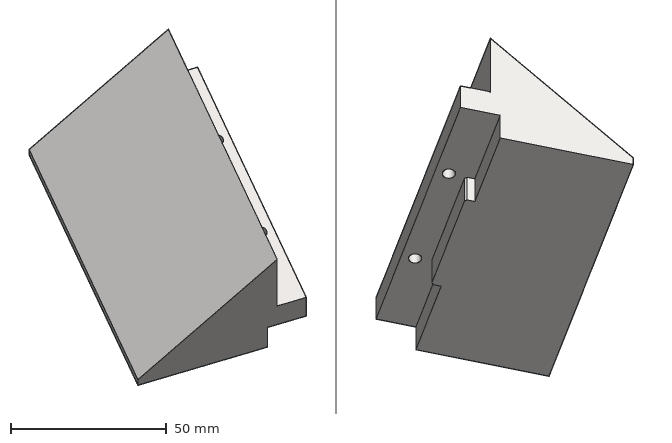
import cadquery as cq

length = 100.0
body_depth = 47.8
height = 44.5
front_lip = 3.0

flange_depth = 10.0
flange_bottom = 10.3
flange_thickness = 9.8
flange_top = flange_bottom + flange_thickness
rear = body_depth + flange_depth

hole_diameter = 4.2
hole_spacing = 40.0
hole_setback = 4.6
hole_y = rear - hole_setback

recess_depth = 3.3
recess_y = body_depth - recess_depth
pad_length = 40.0
pad_chamfer = 0.7


def make_body():
    """Extrude the wedge and its rear flange along the length."""
    profile = [
        (0, 0),
        (recess_y, 0),
        (recess_y, flange_bottom),
        (rear, flange_bottom),
        (rear, flange_top),
        (body_depth, flange_top),
        (body_depth, height),
        (0, front_lip),
    ]
    return cq.Workplane("YZ").polyline(profile).close().extrude(length / 2, both=True)


def make_pad():
    """Central pad with both rear vertical edges chamfered."""
    pad = cq.Workplane("XY").box(pad_length, recess_depth, flange_bottom, centered=(True, False, False))
    return pad.faces(">Y").edges("|Z").chamfer(pad_chamfer).translate((0, recess_y, 0))


def make_holes():
    """Vertical screw holes that pass through the flange."""
    return (
        cq.Workplane("XY", origin=(0, hole_y, flange_bottom))
        .pushPoints([(-hole_spacing / 2, 0), (hole_spacing / 2, 0)])
        .circle(hole_diameter / 2)
        .extrude(flange_thickness)
    )


result = make_body().union(make_pad()).cut(make_holes())